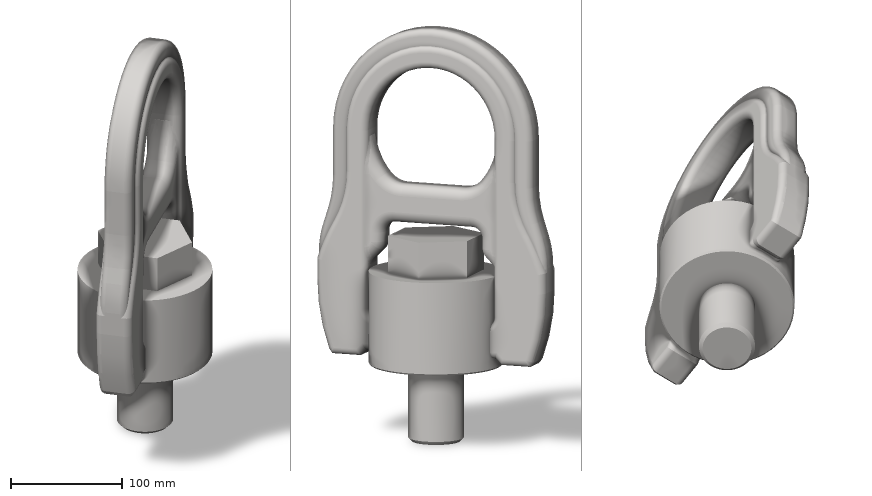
import cadquery as cq
import math

total_height = 377.2
shank_radius = 25.3
shank_chamfer = 3.5
body_diameter = 121.0
body_bottom = 70.0
body_top = 155.0
body_chamfer = 1.5
hex_flats = 76.0
hex_top = 188.2

plate_thickness = 33.0
rim_thickness = 25.5
edge_round = 6.0
rim_end_z = 154.5
rim_radius = 95.8
arch_center_z = total_height - rim_radius
thick_radius = 81.5
legs_width = 219.0
leg_half_width = legs_width / 2
leg_straight_end_z = 143.5
leg_bottom = 75.5
toe_half_width = 98.0
toe_z = 79.5
leg_bottom_half_width = 95.0
leg_inner_half_width = 68.0
foot_step = 5.5

rim_flare_top = 238.5
rim_flare_line = ((100.7, 207.0), (105.2, 193.0))
rim_flare_end = 165.5
thick_flare_top = 243.0
thick_flare_line = ((93.5, 197.5), (95.5, 194.3))
thick_flare_end = 162.0

window_half_width = 60.7
window_floor = 111.0
window_corner = 7.5

web_thickness = 27.5
web_round = 10.0
seam_round = 8.3
seam_margin = 0.5
web_overlap = 3.8
web_half_width = window_half_width + web_overlap
web_top = 275.5
eye_radius = 60.5
eye_floor = 234.0
eye_corner = 23.5

notch_top = 198.5
notch_half_width = 46.8
notch_corner = 9.8
notch_flare_z = 180.0
notch_flare_radius = 11.5


def flared_outline(arch_radius, flare_top_z, flare_line, flare_end_z):
    """Closed ring outline in YZ: arch, straight side, S-shaped flare to the leg width, curved leg."""
    bend_start, bend_end = flare_line
    arch_mid = arch_radius * math.sqrt(0.5)
    half = (
        cq.Workplane("YZ")
        .moveTo(0, arch_center_z + arch_radius)
        .threePointArc((arch_mid, arch_center_z + arch_mid), (arch_radius, arch_center_z))
        .lineTo(arch_radius, flare_top_z)
        .tangentArcPoint(bend_start, relative=False)
        .lineTo(*bend_end)
        .tangentArcPoint((leg_half_width, flare_end_z), relative=False)
        .lineTo(leg_half_width, leg_straight_end_z)
        .tangentArcPoint((toe_half_width, toe_z), relative=False)
        .lineTo(leg_bottom_half_width, leg_bottom)
        .lineTo(leg_inner_half_width, leg_bottom)
        .lineTo(leg_inner_half_width - foot_step, leg_bottom + foot_step)
        .lineTo(0, leg_bottom + foot_step)
    )
    return half.mirrorY()


def ring_plate(outline, thickness):
    """Plate centred on X = 0 with the window cut out and every face edge rounded."""
    plate = outline.extrude(thickness / 2, both=True)
    window_side = arch_center_z - window_floor
    window = (
        cq.Workplane("YZ")
        .center(0, window_floor + window_side / 2)
        .rect(2 * window_half_width, window_side)
        .extrude(thickness, both=True)
        .edges("|X and <Z")
        .fillet(window_corner)
    )
    arch = (
        cq.Workplane("YZ")
        .center(0, arch_center_z)
        .circle(window_half_width)
        .extrude(thickness, both=True)
    )
    return plate.cut(window.union(arch)).faces("<X or >X").edges().fillet(edge_round)


def eye_cutter():
    """Round eye with a flat floor and blended floor corners."""
    floor_box = cq.Workplane("XY").box(
        plate_thickness * 2, 4 * eye_radius, 2 * eye_radius, centered=(True, True, False)
    ).translate((0, 0, eye_floor))
    return (
        cq.Workplane("YZ")
        .center(0, arch_center_z)
        .circle(eye_radius)
        .extrude(plate_thickness, both=True)
        .intersect(floor_box)
        .edges("|X and <Z")
        .fillet(eye_corner)
    )


def web():
    """Bridge between the legs with the eye above, the notch below and rounded rims on both."""
    diagonal = math.sqrt(0.5)
    flare_y = notch_half_width + notch_flare_radius * (1 - diagonal)
    flare_z = notch_flare_z - notch_flare_radius * diagonal
    turn_mid_y = notch_half_width + notch_flare_radius * (1 - math.cos(math.pi / 8))
    turn_mid_z = notch_flare_z - notch_flare_radius * math.sin(math.pi / 8)
    outline = (
        cq.Workplane("YZ")
        .moveTo(0, web_top)
        .lineTo(web_half_width, web_top)
        .lineTo(web_half_width, flare_z - (web_half_width - flare_y))
        .lineTo(flare_y, flare_z)
        .threePointArc((turn_mid_y, turn_mid_z), (notch_half_width, notch_flare_z))
        .lineTo(notch_half_width, notch_top - notch_corner)
        .tangentArcPoint((notch_half_width - notch_corner, notch_top), relative=False)
        .lineTo(0, notch_top)
        .mirrorY()
    )
    bridge = outline.extrude(web_thickness / 2, both=True).cut(eye_cutter())
    crown = bridge.faces("<X or >X").edges("not(|Z or >Z)")
    return crown.fillet(web_round)


def bolt_and_body():
    shank = (
        cq.Workplane("XY")
        .circle(shank_radius)
        .extrude(body_top)
        .faces("<Z")
        .chamfer(shank_chamfer)
    )
    body = (
        cq.Workplane("XY", origin=(0, 0, body_bottom))
        .circle(body_diameter / 2)
        .extrude(body_top - body_bottom)
        .faces("<Z")
        .chamfer(body_chamfer)
    )
    hex_corners = hex_flats / math.cos(math.pi / 6)
    head = (
        cq.Workplane("XY", origin=(0, 0, body_top))
        .polygon(6, hex_corners)
        .extrude(hex_top - body_top)
    )
    return shank.union(body).union(head)


def outer_rim():
    """Thin rim around the arch, ending where the thick plate takes up the full leg width."""
    outline = flared_outline(rim_radius, rim_flare_top, rim_flare_line, rim_flare_end)
    above_legs = cq.Workplane("XY").box(
        2 * plate_thickness, 3 * leg_half_width, total_height, centered=(True, True, False)
    ).translate((0, 0, rim_end_z))
    return ring_plate(outline, rim_thickness).intersect(above_legs)


def thick_plate():
    outline = flared_outline(thick_radius, thick_flare_top, thick_flare_line, thick_flare_end)
    return ring_plate(outline, plate_thickness)


def shackle():
    """Ring and web, with the long seams between web faces and legs blended."""
    legs_and_web = thick_plate().union(web())
    step = (plate_thickness - web_thickness) / 2
    inset = math.sqrt(edge_round**2 - (edge_round - step) ** 2)
    seam_half_width = window_half_width + edge_round - inset
    seams = legs_and_web.newObject([])
    for side in (-1, 1):
        seam_y = side * seam_half_width
        seam_strip = cq.selectors.BoxSelector(
            (-web_thickness, seam_y - seam_margin, notch_flare_z),
            (web_thickness, seam_y + seam_margin, eye_floor),
        )
        seams = seams.add(legs_and_web.edges(seam_strip))
    return seams.fillet(seam_round).union(outer_rim())


result = bolt_and_body().union(shackle())